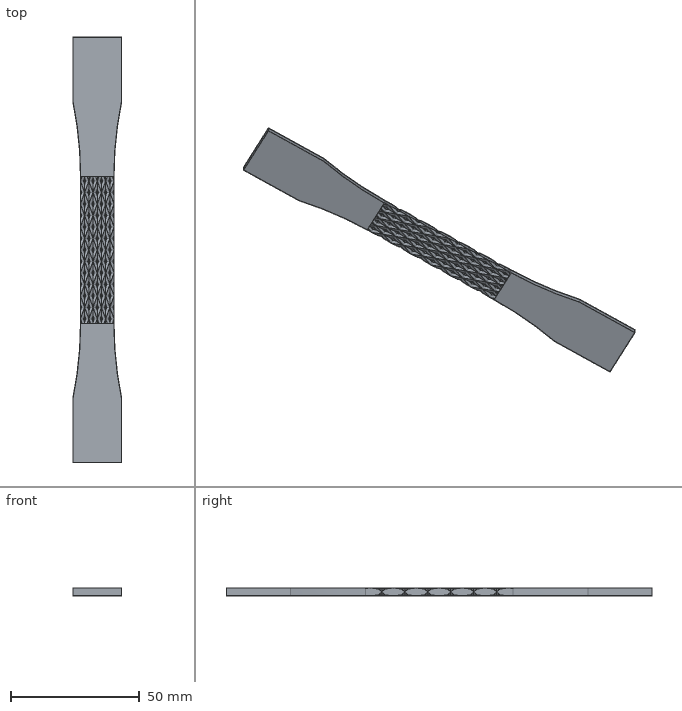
import cadquery as cq

length = 165.0
grip_width = 19.0
thickness = 3.1
gauge_width = 13.0
gauge_length = 57.1
shoulder_distance = 115.2

columns_across = 8
diamond_half_width = gauge_width / columns_across
diamond_half_length = 4.5
dimple_depth = 0.63
pit_half_width = 0.46
pit_depth = 1.5

half_gauge = gauge_length / 2
half_shoulder = shoulder_distance / 2
taper_run = half_shoulder - half_gauge
taper_rise = (grip_width - gauge_width) / 2
diamond_aspect = diamond_half_length / diamond_half_width
pit_rim_depth = dimple_depth * (1 - pit_half_width / diamond_half_width)
taper_radius = (taper_run**2 + taper_rise**2) / (2 * taper_rise)


def blank():
    """Flat dog-bone bar, with its gauge centred on the origin and its underside on Z = 0."""
    right_edge = gauge_width / 2
    bar = (
        cq.Workplane("XY")
        .moveTo(right_edge, -half_gauge)
        .lineTo(right_edge, half_gauge)
        .radiusArc((grip_width / 2, half_shoulder), taper_radius)
        .lineTo(grip_width / 2, length / 2)
        .lineTo(-grip_width / 2, length / 2)
        .lineTo(-grip_width / 2, half_shoulder)
        .radiusArc((-right_edge, half_gauge), taper_radius)
        .lineTo(-right_edge, -half_gauge)
        .radiusArc((-grip_width / 2, -half_shoulder), taper_radius)
        .lineTo(-grip_width / 2, -length / 2)
        .lineTo(grip_width / 2, -length / 2)
        .lineTo(grip_width / 2, -half_shoulder)
        .radiusArc((right_edge, -half_gauge), taper_radius)
        .close()
        .extrude(thickness)
    )
    return bar.val()


def face_through(points):
    """Flat face bounded by a closed polygon."""
    return cq.Face.makeFromWires(cq.Wire.makePolygon(points, close=True))


def diamond(x, y, z, half_width):
    """Corners of a level diamond, longest along Y."""
    half_length = half_width * diamond_aspect
    return [
        cq.Vector(x + half_width, y, z),
        cq.Vector(x, y + half_length, z),
        cq.Vector(x - half_width, y, z),
        cq.Vector(x, y - half_length, z),
    ]


def dimple(x, y, surface_z, inward):
    """Hollow of one dimple and its pit; inward is the Z sense from the surface into the bar."""
    mouth = diamond(x, y, surface_z, diamond_half_width)
    rim = diamond(x, y, surface_z + inward * pit_rim_depth, pit_half_width)
    tip = cq.Vector(x, y, surface_z + inward * pit_depth)
    faces = [face_through(mouth)]
    for i in range(4):
        faces.append(face_through([mouth[i - 1], mouth[i], rim[i], rim[i - 1]]))
        faces.append(face_through([rim[i - 1], rim[i], tip]))
    return cq.Solid.makeSolid(cq.Shell.makeShell(faces))


def gauge_dimples():
    """Dimples of both faces, trimmed at the two ends of the gauge."""
    gauge_box = cq.Workplane("XY").box(2 * grip_width, gauge_length, 3 * thickness).val()
    last_column = columns_across // 2
    last_row = int(half_gauge / diamond_half_length) + 1
    dimples = []
    for column in range(-last_column, last_column + 1):
        for row in range(-last_row, last_row + 1):
            if (column + row) % 2 == 0:
                continue
            x = column * diamond_half_width
            y = row * diamond_half_length
            for surface_z, inward in ((thickness, -1), (0, 1)):
                hollow = dimple(x, y, surface_z, inward)
                if abs(y) + diamond_half_length > half_gauge:
                    hollow = hollow.intersect(gauge_box)
                dimples.append(hollow)
    return dimples


result = cq.Workplane(blank().cut(*gauge_dimples()))